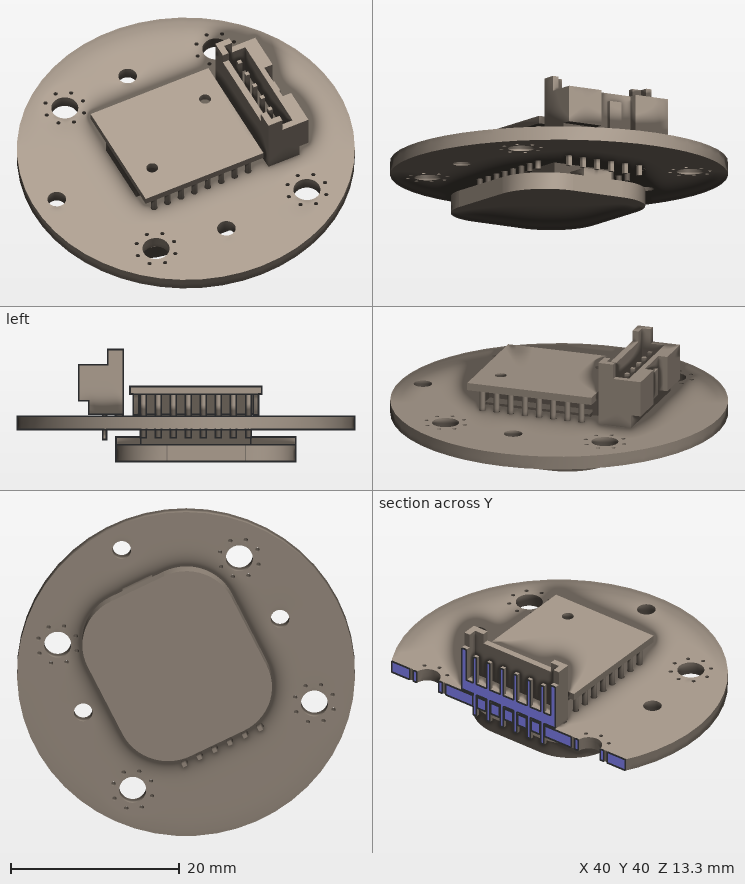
import cadquery as cq


board_diameter = 40.0
board_thickness = 1.6
mount_x = 12.0
mount_y = 10.0
mount_diameter = 3.2
via_count = 8
via_circle_radius = 2.4
via_diameter = 0.5
screw_diameter = 2.2
side_screw_x = 13.0
rim_screw_y = -17.1
slot_clearance = 0.2
module_hole_diameter = 0.8
connector_hole_diameter = 0.8
peg_hole_diameter = 1.1

module_y = -1.17
plate_width = 14.5
plate_length = 15.6
plate_bottom = 4.2
plate_thickness = 0.9
plate_top = plate_bottom + plate_thickness
plate_hole_diameter = 1.4
plate_holes = [(-3.2, 4.15), (3.35, -6.15)]
end_wall_width = 8.0
end_wall_thickness = 0.65
end_wall_span = 14.85
end_wall_bottom = board_thickness + 0.1
core_width = 5.0
module_pin_diameter = 0.7
module_pin_count = 8
module_pin_pitch = 1.778
module_pin_x = 6.33
module_pin_bottom = -0.95

base_width = 19.05
base_length = 21.3
base_y = -2.35
base_corner_radius = 6.0
base_bottom = -3.8
base_top = -1.8
rib_width = 3.9
rib_top = -0.85
block_width = 8.35
block_length = 13.0
block_top = board_thickness + 0.22

header_width = 14.0
header_front_y = 7.42
header_depth = 5.3
header_back_y = header_front_y + header_depth
header_bottom = board_thickness + 0.2
header_front_top = 9.5
header_back_top = 7.7
front_wall_depth = 1.85
undercut_depth = 1.2
undercut_top = 3.4
cavity_width = 12.45
cavity_front_y = 8.2
cavity_length = 2.8
cavity_floor = undercut_top
front_notch_width = 10.0
front_notch_bottom = 8.2
back_recess_width = 4.85
back_recess_depth = 1.1
latch_width = 1.6
latch_depth = 0.5
latch_top = header_back_top - 1.0
header_pin_count = 6
header_pin_pitch = 2.0
header_pin_size = 0.5
header_pin_y = 9.63
header_pin_bottom = -1.2
header_pin_top = 7.1
peg_diameter = 0.9
peg_position = (-6.46, 7.9)

module_pin_points = [
    (side * module_pin_x, module_y + (i - (module_pin_count - 1) / 2) * module_pin_pitch)
    for side in (-1, 1)
    for i in range(module_pin_count)
]
header_pin_points = [
    ((i - (header_pin_count - 1) / 2) * header_pin_pitch, header_pin_y)
    for i in range(header_pin_count)
]


def box(width, y_min, y_max, z_min, z_max):
    """Box centred on X = 0 between the given Y and Z limits."""
    return (
        cq.Workplane("XY", origin=(0, 0, z_min))
        .center(0, (y_min + y_max) / 2)
        .rect(width, y_max - y_min)
        .extrude(z_max - z_min)
    )


def centred_box(width, length, y_centre, z_min, z_max):
    """Box centred on X = 0 and on y_centre."""
    return box(width, y_centre - length / 2, y_centre + length / 2, z_min, z_max)


def rods(points, diameter, z_min, z_max):
    """Vertical cylinders at the given points, for pins and drilled holes."""
    return (
        cq.Workplane("XY", origin=(0, 0, z_min))
        .pushPoints(points)
        .circle(diameter / 2)
        .extrude(z_max - z_min)
    )


def make_board():
    def drill(points, diameter):
        return rods(points, diameter, 0, board_thickness)

    board = drill([(0, 0)], board_diameter)
    screw_points = [(-side_screw_x, module_y), (side_screw_x, module_y), (0, rim_screw_y)]
    board = board.cut(drill(screw_points, screw_diameter))

    for x in (-mount_x, mount_x):
        for y in (-mount_y, mount_y):
            vias = (
                cq.Workplane("XY")
                .center(x, y)
                .polarArray(via_circle_radius, 0, 360, via_count)
                .circle(via_diameter / 2)
                .extrude(board_thickness)
            )
            board = board.cut(drill([(x, y)], mount_diameter)).cut(vias)

    board = board.cut(drill(module_pin_points, module_hole_diameter))
    board = board.cut(drill(header_pin_points, connector_hole_diameter))
    board = board.cut(drill([peg_position], peg_hole_diameter))
    slot = centred_box(
        block_width + 2 * slot_clearance,
        block_length + 2 * slot_clearance,
        module_y,
        0,
        board_thickness,
    )
    return board.cut(slot)


def make_module():
    module = centred_box(plate_width, plate_length, module_y, plate_bottom, plate_top)
    module = module.cut(rods(plate_holes, plate_hole_diameter, plate_bottom, plate_top))

    wall_offset = (end_wall_span - end_wall_thickness) / 2
    for side in (-1, 1):
        wall = centred_box(
            end_wall_width,
            end_wall_thickness,
            module_y + side * wall_offset,
            end_wall_bottom,
            plate_bottom,
        )
        module = module.union(wall)
    core_length = end_wall_span - 2 * end_wall_thickness
    module = module.union(centred_box(core_width, core_length, module_y, block_top, plate_bottom))

    return module.union(rods(module_pin_points, module_pin_diameter, module_pin_bottom, plate_bottom))


def make_sensor():
    base = centred_box(base_width, base_length, base_y, base_bottom, base_top)
    base = base.edges("|Z").fillet(base_corner_radius)
    rib = centred_box(rib_width, base_length, base_y, base_top, rib_top)
    block = centred_box(block_width, block_length, module_y, base_top, block_top)
    return base.union(rib).union(block)


def make_connector():
    step_y = header_front_y + front_wall_depth
    undercut_y = header_back_y - undercut_depth
    recess_y = header_back_y - back_recess_depth
    side_profile = [
        (header_front_y, header_bottom),
        (undercut_y, header_bottom),
        (undercut_y, undercut_top),
        (header_back_y, undercut_top),
        (header_back_y, header_back_top),
        (step_y, header_back_top),
        (step_y, header_front_top),
        (header_front_y, header_front_top),
    ]
    shell = cq.Workplane("YZ").polyline(side_profile).close().extrude(header_width / 2, both=True)

    cavity_back_y = cavity_front_y + cavity_length
    cavity = box(cavity_width, cavity_front_y, cavity_back_y, cavity_floor, header_front_top)
    front_notch = box(
        front_notch_width, header_front_y, cavity_front_y, front_notch_bottom, header_front_top
    )
    back_recess = box(back_recess_width, recess_y, header_back_y, undercut_top, header_back_top)
    shell = shell.cut(cavity).cut(front_notch).cut(back_recess)

    latch = box(latch_width, recess_y, recess_y + latch_depth, undercut_top, latch_top)
    peg = rods([peg_position], peg_diameter, 0, header_bottom)
    pins = (
        cq.Workplane("XY", origin=(0, 0, header_pin_bottom))
        .pushPoints(header_pin_points)
        .rect(header_pin_size, header_pin_size)
        .extrude(header_pin_top - header_pin_bottom)
    )
    return shell.union(latch).union(peg).union(pins)


board = make_board()
module = make_module()
sensor = make_sensor()
connector = make_connector()

bodies = [board, module, sensor, connector]
result = cq.Compound.makeCompound([body.solids().val() for body in bodies])